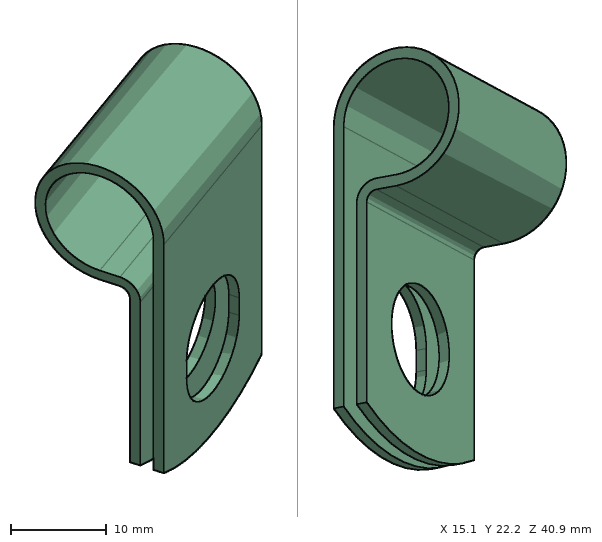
import cadquery as cq
import math

height = 40.9
width = 22.25
loop_diameter = 15.13
thickness = 1.23

leg_gap = 1.55
bend_inner_radius = 1.2
hole_diameter = 11.9
hole_height = 12.68
slot_extra_length = 2.37
end_arc_rise = 2.58

outer_radius = loop_diameter / 2
inner_radius = outer_radius - thickness
bend_outer_radius = bend_inner_radius + thickness
loop_z = height - outer_radius
short_leg_inner_x = inner_radius - leg_gap
short_leg_outer_x = short_leg_inner_x - thickness
bend_x = short_leg_outer_x - bend_inner_radius
bend_z = loop_z - outer_radius - bend_inner_radius


def arc_point(center_x, center_z, radius, angle):
    """Point on an arc in the XZ plane, with the angle in degrees from +X."""
    turn = math.radians(angle)
    return (center_x + radius * math.cos(turn), center_z + radius * math.sin(turn))


def make_strip():
    """Bent strip: long leg, three-quarter loop, bend and short leg."""
    profile = (
        cq.Workplane("XZ")
        .moveTo(outer_radius, 0)
        .lineTo(outer_radius, loop_z)
        .threePointArc(arc_point(0, loop_z, outer_radius, 135), (0, loop_z - outer_radius))
        .lineTo(bend_x, loop_z - outer_radius)
        .threePointArc(arc_point(bend_x, bend_z, bend_inner_radius, 45), (short_leg_outer_x, bend_z))
        .lineTo(short_leg_outer_x, 0)
        .lineTo(short_leg_inner_x, 0)
        .lineTo(short_leg_inner_x, bend_z)
        .threePointArc(
            arc_point(bend_x, bend_z, bend_outer_radius, 45),
            (bend_x, bend_z + bend_outer_radius),
        )
        .lineTo(0, loop_z - inner_radius)
        .threePointArc(arc_point(0, loop_z, inner_radius, 135), (inner_radius, loop_z))
        .lineTo(inner_radius, 0)
        .close()
    )
    return profile.extrude(width / 2, both=True)


def make_side_outline():
    """Block that trims the legs to a rounded lower end."""
    half_width = width / 2
    return (
        cq.Workplane("YZ")
        .moveTo(-half_width, height)
        .lineTo(-half_width, end_arc_rise)
        .threePointArc((0, 0), (half_width, end_arc_rise))
        .lineTo(half_width, height)
        .close()
        .extrude(outer_radius, both=True)
    )


def make_bolt_hole():
    """Round hole through the short leg."""
    return (
        cq.Workplane("YZ", origin=(short_leg_outer_x, 0, hole_height))
        .circle(hole_diameter / 2)
        .extrude(thickness)
    )


def make_bolt_slot():
    """Upright slot through the long leg, centred on the bolt hole."""
    return (
        cq.Workplane("YZ", origin=(inner_radius, 0, hole_height))
        .slot2D(hole_diameter + slot_extra_length, hole_diameter, angle=90)
        .extrude(thickness)
    )


result = make_strip().intersect(make_side_outline()).cut(make_bolt_hole()).cut(make_bolt_slot())